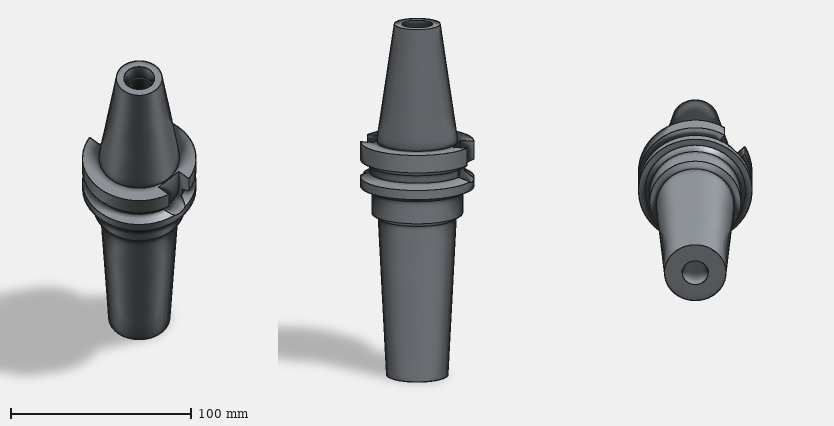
import cadquery as cq
import math

total_length = 200.5
gauge_z = 135.0
flange_top_z = 133.3
groove_top_z = 123.2
rim_top_z = 113.2
flange_bottom_z = 108.0
collar_top_z = 105.2
collar_chamfer_z = 92.5
collar_bottom_z = 90.2

nose_radius = 17.0
nose_root_radius = 21.6
collar_radius = 25.3
flange_step_radius = 27.9
flange_radius = 31.5
groove_radius = 26.5
gauge_radius = 22.2
taper_ratio = 7 / 24
taper_end_radius = gauge_radius - (total_length - gauge_z) * taper_ratio / 2

groove_flank_angle = math.radians(30)
flank_height = (flange_radius - groove_radius) * math.tan(groove_flank_angle)

bore_diameter = 14.5
counterbore_diameter = 16.8
counterbore_depth = 9.0
slot_width = 16.0
slot_bottom_z = 112.0
slot_floor_x = 22.6


def turned_body():
    """Revolve the half section of the holder about Z."""
    outline = [
        (0, 0),
        (nose_radius, 0),
        (nose_root_radius, collar_bottom_z),
        (collar_radius, collar_chamfer_z),
        (collar_radius, collar_top_z),
        (flange_step_radius, flange_bottom_z),
        (flange_radius, flange_bottom_z),
        (flange_radius, rim_top_z),
        (groove_radius, rim_top_z + flank_height),
        (groove_radius, groove_top_z - flank_height),
        (flange_radius, groove_top_z),
        (flange_radius, flange_top_z),
        (gauge_radius, flange_top_z),
        (gauge_radius, gauge_z),
        (taper_end_radius, total_length),
        (0, total_length),
    ]
    return cq.Workplane("XZ").polyline(outline).close().revolve(360, (0, 0), (0, 1))


def drive_slot(side):
    """Cutter for a round-bottomed slot; side is +1 for +X and -1 for -X."""
    half_width = slot_width / 2
    arc_center_z = slot_bottom_z + half_width
    return (
        cq.Workplane("YZ", origin=(side * slot_floor_x, 0, 0))
        .moveTo(-half_width, flange_top_z)
        .lineTo(-half_width, arc_center_z)
        .threePointArc((0, slot_bottom_z), (half_width, arc_center_z))
        .lineTo(half_width, flange_top_z)
        .close()
        .extrude(side * flange_radius)
    )


def stepped_bore(body):
    """Through bore, widened at the taper end."""
    return body.faces(">Z").workplane().cboreHole(
        bore_diameter, counterbore_diameter, counterbore_depth
    )


result = stepped_bore(turned_body())
for side in (-1, 1):
    result = result.cut(drive_slot(side))